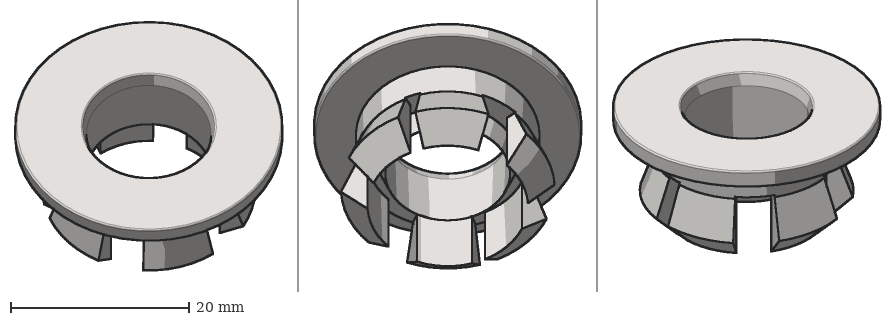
import cadquery as cq
import math

flange_radius = 15.0
flange_thickness = 2.0
edge_rounding = 0.2

bore_radius = 7.0
lead_in_radius = 7.43
lead_in_depth = 1.5

total_height = 14.0
knee_height = 3.0
tube_end_height = 5.5
leg_root_height = 7.75
slot_roof_height = 8.0

neck_radius = 10.3
knee_radius = 12.0
leg_inner_radius = 9.0
tube_root_radius = 7.88

leg_angle = 40.0
narrow_slot_angle = 10.0
wide_slot_angle = 90.0 - 1.5 * leg_angle - narrow_slot_angle / 2
wide_slot_offset = (leg_angle + wide_slot_angle) / 2

slot_reach = 2 * knee_radius

gap_mid_radius = (tube_root_radius + leg_inner_radius) / 2

flange_bottom = total_height - flange_thickness


def revolved_body():
    """Ring-shaped body: flange, neck, centre tube and an uncut skirt around it."""
    profile = [
        (bore_radius, tube_end_height),
        (tube_root_radius, slot_roof_height),
        (leg_inner_radius, slot_roof_height),
        (leg_inner_radius, 0),
        (knee_radius, knee_height),
        (neck_radius, leg_root_height),
        (neck_radius, flange_bottom),
        (flange_radius, flange_bottom),
        (flange_radius, total_height),
        (lead_in_radius, total_height),
        (bore_radius, total_height - lead_in_depth),
    ]
    return cq.Workplane("XZ").polyline(profile).close().revolve(360, (0, 0, 0), (0, 1, 0))


def round_flange_edges(body):
    """Round both rim edges of the flange and the mouth of the bore."""
    top_rounded = body.faces(">Z").edges().fillet(edge_rounding)
    lower_rim = cq.selectors.BoxSelector(
        (-flange_radius, -flange_radius, flange_bottom - edge_rounding),
        (flange_radius, flange_radius, flange_bottom + edge_rounding),
    )
    largest_circle = cq.selectors.RadiusNthSelector(-1)
    return top_rounded.edges("%CIRCLE").edges(lower_rim).edges(largest_circle).fillet(edge_rounding)


def slot_cutter(centre_angle, width_angle):
    """Wedge with radial side walls that removes the skirt between two legs."""
    half_angle = math.radians(width_angle / 2)
    half_width = slot_reach * math.tan(half_angle)
    wedge = (
        cq.Workplane("XY")
        .polyline([(0, 0), (slot_reach, -half_width), (slot_reach, half_width)])
        .close()
        .extrude(slot_roof_height)
    )
    tube_clearance = cq.Workplane("XY").circle(gap_mid_radius).extrude(slot_roof_height)
    return wedge.cut(tube_clearance).rotate((0, 0, 0), (0, 0, 1), centre_angle)


result = round_flange_edges(revolved_body())
for narrow_centre in (90, 270):
    result = result.cut(slot_cutter(narrow_centre, narrow_slot_angle))
for leg_centre in (0, 180):
    for side in (-1, 1):
        wide_centre = leg_centre + side * wide_slot_offset
        result = result.cut(slot_cutter(wide_centre, wide_slot_angle))